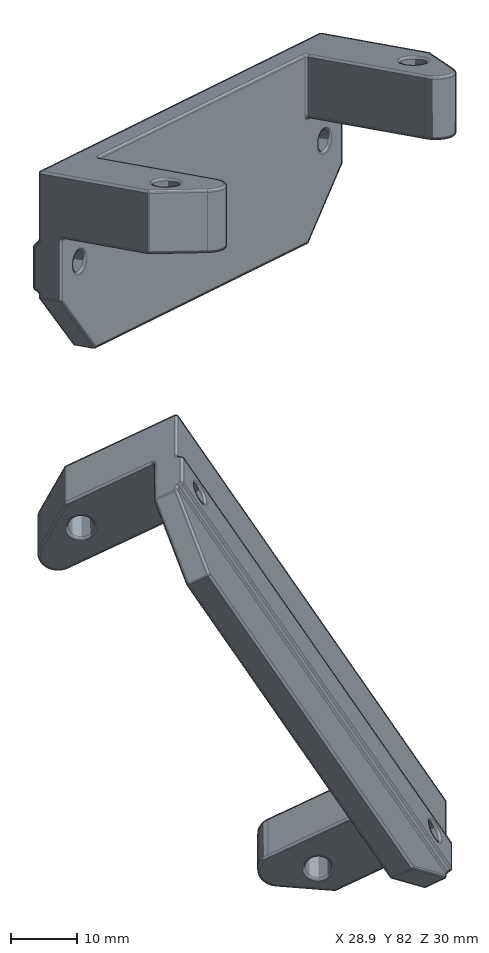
import cadquery as cq
import math

length = 82.0
depth = 28.95
height = 30.0

rib_depth = 1.0
plate_thickness = 4.0
plate_back = rib_depth + plate_thickness
rib_top = 11.0
rib_bottom = 19.2
rib_top_slope = 1.0
rib_bottom_slope = 0.4

arm_height = 10.0
arm_width = 10.7
arm_shoulder = 20.3
tip_radius = 3.0

corner_cut = 10.0

arm_hole_diameter = 4.0
arm_hole_x = 20.4
arm_hole_inset = 5.0
plate_hole_diameter = 3.4
plate_hole_inset = 5.3
plate_hole_drop = 15.0

edge_radius = 0.4

half_length = length / 2


def side_body():
    """L-shaped section with the rib, extruded over the full length; top face at Z = 0."""
    section = [
        (rib_depth, 0),
        (depth, 0),
        (depth, -arm_height),
        (plate_back, -arm_height),
        (plate_back, -height),
        (rib_depth, -height),
        (rib_depth, -rib_bottom),
        (0, -rib_bottom + rib_bottom_slope),
        (0, -rib_top - rib_top_slope),
        (rib_depth, -rib_top),
    ]
    return cq.Workplane("XZ").polyline(section).close().extrude(half_length, both=True)


def plan_body():
    """U-shaped plan with tapered, rounded arm tips, extruded over the full height."""
    tip_x = depth - tip_radius
    tip_y = half_length - arm_width + tip_radius

    run = tip_x - arm_shoulder
    drop = half_length - tip_y
    center_angle = math.atan2(drop, run)
    taper_angle = center_angle - math.asin(tip_radius / math.hypot(run, drop))
    tangent_angle = math.pi / 2 - taper_angle
    inner_angle = -math.pi / 2
    middle_angle = (tangent_angle + inner_angle) / 2

    def tip_point(angle, side):
        """Point on the tip circle of the arm at the +Y (side 1) or -Y (side -1) end."""
        x = tip_x + tip_radius * math.cos(angle)
        y = tip_y + tip_radius * math.sin(angle)
        return (x, side * y)

    inner_y = half_length - arm_width
    return (
        cq.Workplane("XY")
        .moveTo(0, half_length)
        .lineTo(arm_shoulder, half_length)
        .lineTo(*tip_point(tangent_angle, 1))
        .threePointArc(tip_point(middle_angle, 1), tip_point(inner_angle, 1))
        .lineTo(plate_back, inner_y)
        .lineTo(plate_back, -inner_y)
        .lineTo(*tip_point(inner_angle, -1))
        .threePointArc(tip_point(middle_angle, -1), tip_point(tangent_angle, -1))
        .lineTo(arm_shoulder, -half_length)
        .lineTo(0, -half_length)
        .close()
        .extrude(-height)
    )


def end_body():
    """Plate outline with the two lower corners cut off at 45 degrees."""
    outline = [
        (-half_length, 0),
        (half_length, 0),
        (half_length, -height + corner_cut),
        (half_length - corner_cut, -height),
        (-half_length + corner_cut, -height),
        (-half_length, -height + corner_cut),
    ]
    return cq.Workplane("YZ").polyline(outline).close().extrude(depth)


def is_tip_seam(edge):
    """Upright line where a rounded arm tip runs smoothly into a flat side."""
    center = edge.Center()
    near_tip = center.x > depth - 2 * tip_radius
    between_faces = math.isclose(center.z, -arm_height / 2)
    return near_tip and between_faces


def cut_round_holes(part, cutters, radius):
    """Cut through holes of one radius and round all their rims."""
    part = part.cut(cutters)
    rims = [edge for edge in part.edges("%CIRCLE").vals() if math.isclose(edge.radius(), radius)]
    return part.newObject(rims).fillet(edge_radius)


body = side_body().intersect(plan_body()).intersect(end_body())
sharp_edges = [edge for edge in body.edges().vals() if not is_tip_seam(edge)]
body = body.newObject(sharp_edges).fillet(edge_radius)

arm_hole_y = half_length - arm_hole_inset
arm_holes = (
    cq.Workplane("XY")
    .pushPoints([(arm_hole_x, -arm_hole_y), (arm_hole_x, arm_hole_y)])
    .circle(arm_hole_diameter / 2)
    .extrude(-arm_height)
)
plate_hole_y = half_length - plate_hole_inset
plate_holes = (
    cq.Workplane("YZ")
    .pushPoints([(-plate_hole_y, -plate_hole_drop), (plate_hole_y, -plate_hole_drop)])
    .circle(plate_hole_diameter / 2)
    .extrude(plate_back)
)
body = cut_round_holes(body, arm_holes, arm_hole_diameter / 2)
result = cut_round_holes(body, plate_holes, plate_hole_diameter / 2)